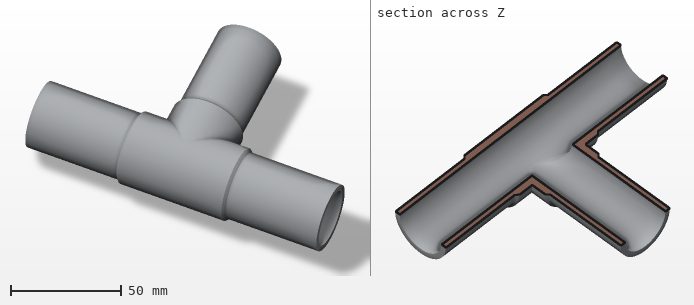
import cadquery as cq

run_length = 144.0
arm_length = run_length / 2
pipe_diameter = 32.0
bore_diameter = 26.2
body_diameter = 34.8
body_reach = 27.0
shoulder_edge = (body_diameter - pipe_diameter) / 2

RUN = "YZ"
BRANCH = "ZX"


def cylinder(plane, diameter, start, end):
    """Cylinder around the normal of the plane through the tee centre."""
    return cq.Workplane(plane).workplane(offset=start).circle(diameter / 2).extrude(end - start)


run_body = cylinder(RUN, body_diameter, -body_reach, body_reach).edges("%CIRCLE").chamfer(shoulder_edge)
branch_body = cylinder(BRANCH, body_diameter, 0, body_reach).edges("%CIRCLE and >Y").chamfer(shoulder_edge)

run_pipe = cylinder(RUN, pipe_diameter, -arm_length, arm_length)
branch_pipe = cylinder(BRANCH, pipe_diameter, 0, arm_length)

run_bore = cylinder(RUN, bore_diameter, -arm_length, arm_length)
branch_bore = cylinder(BRANCH, bore_diameter, 0, arm_length)

outside = run_body.union(branch_body).union(run_pipe).union(branch_pipe)
result = outside.cut(run_bore).cut(branch_bore)